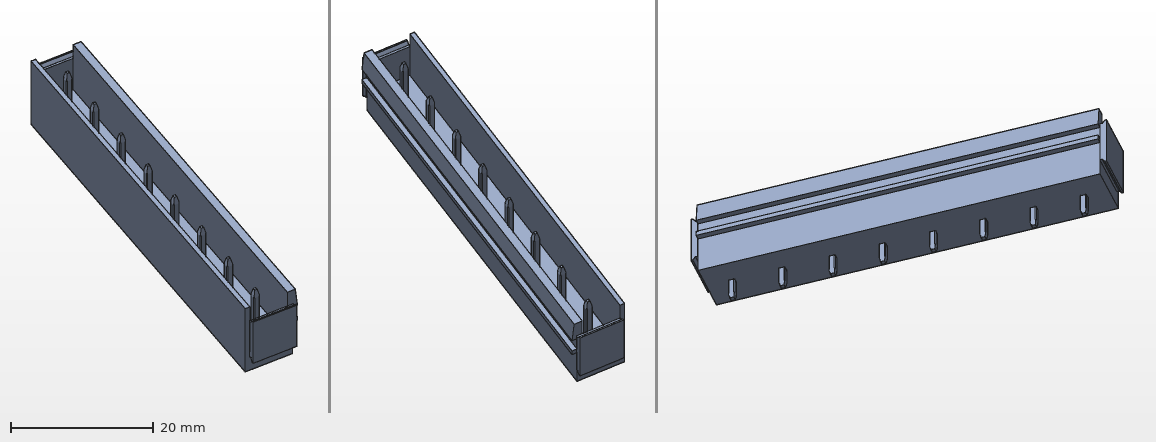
import cadquery as cq

PIN_COUNT = 8
PIN_PITCH = 7.5

HOUSING_LENGTH = 60.0
HOUSING_HEIGHT = 12.0
FLOOR_THICKNESS = 3.5
FRONT_WALL = 0.75
CHANNEL_BACK_Y = 6.85
BASE_DEPTH = 7.7

LIP_DEPTH = 8.5
LIP_TOP_DEPTH = 8.15
LIP_HEIGHT = 3.2

RIB_HEIGHT = 0.75
RIB_BOTTOM_Z = 5.95

PLATE_OVERHANG = 1.0
PLATE_HEIGHT = 7.8
PLATE_CENTER_Z = HOUSING_HEIGHT / 2
PLATE_FRONT_Y = 0.7
PLATE_WIDTH = 7.1
NECK_OVERHANG = 0.35
NECK_SETBACK = 0.5
RIM_THICKNESS = 0.25

PIN_Y = 3.8
PIN_WIDTH = 1.0
PIN_EDGE_BEVEL = 0.15
PIN_BOTTOM_Z = -3.2
PIN_TOP_Z = 11.1
TIP_WIDTH = 0.4
TIP_LENGTH = 1.25
TAIL_WIDTH = 0.6
TAIL_LENGTH = 0.9


def make_trough():
    """Channel section with the lip on its back wall, extruded along X."""
    lip_bottom_z = HOUSING_HEIGHT - LIP_HEIGHT
    section = [
        (0, 0),
        (BASE_DEPTH, 0),
        (BASE_DEPTH, lip_bottom_z),
        (LIP_DEPTH, lip_bottom_z),
        (LIP_TOP_DEPTH, HOUSING_HEIGHT),
        (CHANNEL_BACK_Y, HOUSING_HEIGHT),
        (CHANNEL_BACK_Y, FLOOR_THICKNESS),
        (FRONT_WALL, FLOOR_THICKNESS),
        (FRONT_WALL, HOUSING_HEIGHT),
        (0, HOUSING_HEIGHT),
    ]
    return cq.Workplane("YZ").polyline(section).close().extrude(HOUSING_LENGTH / 2, both=True)


def make_back_rib():
    """Rib along the whole back wall, as deep as the lip."""
    return cq.Workplane("XY").box(
        HOUSING_LENGTH, LIP_DEPTH - BASE_DEPTH, RIB_HEIGHT, centered=(True, False, False)
    ).translate((0, BASE_DEPTH, RIB_BOTTOM_Z))


def make_end_plate():
    """Plate at the +X end, flaring from a neck to a taller rim."""
    end_x = HOUSING_LENGTH / 2
    rim_half = PLATE_HEIGHT / 2
    neck_half = rim_half - NECK_SETBACK
    upper_half = [
        (end_x, neck_half),
        (end_x + NECK_OVERHANG, neck_half),
        (end_x + PLATE_OVERHANG - RIM_THICKNESS, rim_half),
        (end_x + PLATE_OVERHANG, rim_half),
    ]
    lower_half = [(x, -z) for x, z in reversed(upper_half)]
    plate = cq.Workplane("XZ").polyline(upper_half + lower_half).close().extrude(-PLATE_WIDTH)
    return plate.translate((0, PLATE_FRONT_Y, PLATE_CENTER_Z))


def make_pin(x):
    """Square post at the given X, with a taper at each end."""
    length = PIN_TOP_Z - PIN_BOTTOM_Z
    post = cq.Workplane("XY").rect(PIN_WIDTH, PIN_WIDTH).extrude(length)
    post = post.edges("|Z").chamfer(PIN_EDGE_BEVEL)
    tail = (
        cq.Workplane("XY").rect(TAIL_WIDTH, TAIL_WIDTH)
        .workplane(offset=TAIL_LENGTH).rect(PIN_WIDTH, PIN_WIDTH).loft(ruled=True)
    )
    middle = (
        cq.Workplane("XY", origin=(0, 0, TAIL_LENGTH))
        .rect(PIN_WIDTH, PIN_WIDTH).extrude(length - TAIL_LENGTH - TIP_LENGTH)
    )
    tip = (
        cq.Workplane("XY", origin=(0, 0, length - TIP_LENGTH)).rect(PIN_WIDTH, PIN_WIDTH)
        .workplane(offset=TIP_LENGTH).rect(TIP_WIDTH, TIP_WIDTH).loft(ruled=True)
    )
    tapered_envelope = tail.union(middle).union(tip)
    return post.intersect(tapered_envelope).translate((x, PIN_Y, PIN_BOTTOM_Z))


first_pin_x = -PIN_PITCH * (PIN_COUNT - 1) / 2
pins = [make_pin(first_pin_x + index * PIN_PITCH) for index in range(PIN_COUNT)]

end_plate = make_end_plate()
housing = make_trough().union(make_back_rib()).union(end_plate).union(end_plate.mirror("YZ"))
for pin in pins:
    housing = housing.cut(pin)

result = cq.Compound.makeCompound([housing.val(), *[pin.val() for pin in pins]])